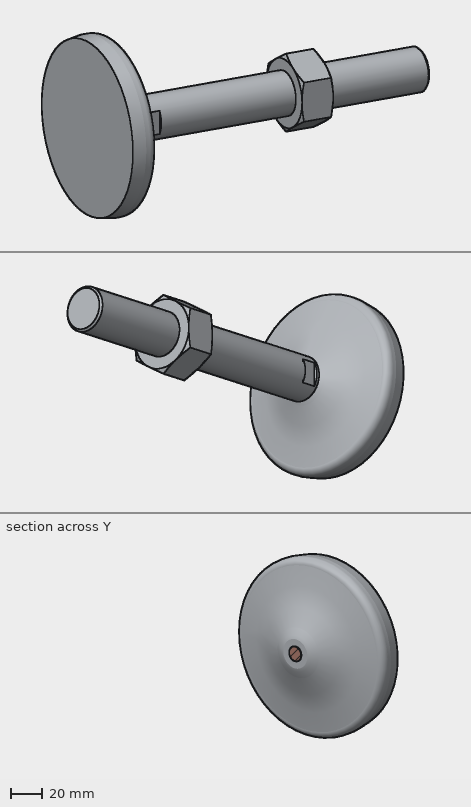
import cadquery as cq
import math

total_length = 246.0

foot_diameter = 120.0
sole_diameter = 117.0
band_bottom = 9.0
band_top = 12.0
rim_top = 17.2
rim_round = 5.0
rim_inner_radius = foot_diameter / 2 - rim_round
flare_mid = (26.8, 24.4)
shoulder_start = (16.7, 29.0)
shoulder_mid = (13.5, 30.8)
crown_radius = 9.8
crown_height = 32.0

neck_diameter = 10.0
stud_diameter = 30.0
stud_bottom = 32.7
stud_chamfer = 1.5

flat_bottom = 35.0
flat_top = 46.2
flat_spacing = 25.5

nut_bottom = 146.1
nut_height = 23.1
nut_across_flats = 45.8
nut_across_corners = nut_across_flats / math.cos(math.radians(30))
nut_end_radius = nut_across_flats / 2
nut_chamfer_angle = 22


def cylinder_along_y(diameter, bottom, top):
    """Round bar on the Y axis between two heights."""
    return cq.Workplane("XZ", origin=(0, bottom, 0)).circle(diameter / 2).extrude(bottom - top)


def make_foot():
    """Tapered rim with a narrow straight band, flaring up into a small crown."""
    outer_radius = foot_diameter / 2
    corner_mid = rim_round * math.sqrt(0.5)
    return (
        cq.Workplane("XY")
        .lineTo(sole_diameter / 2, 0)
        .lineTo(outer_radius, band_bottom)
        .lineTo(outer_radius, band_top)
        .lineTo(outer_radius, rim_top - rim_round)
        .threePointArc(
            (rim_inner_radius + corner_mid, rim_top - rim_round + corner_mid),
            (rim_inner_radius, rim_top),
        )
        .threePointArc(flare_mid, shoulder_start)
        .threePointArc(shoulder_mid, (crown_radius, crown_height))
        .lineTo(0, crown_height)
        .close()
        .revolve(360, (0, 0), (0, 1))
    )


def make_stud():
    """Round stud with a chamfered free end and two wrench flats facing -X and +X."""
    stud = cylinder_along_y(stud_diameter, stud_bottom, total_length)
    stud = stud.faces(">Y").chamfer(stud_chamfer)
    flat_depth = (stud_diameter - flat_spacing) / 2
    flat_height = flat_top - flat_bottom
    for side in (-1, 1):
        cutter = cq.Workplane("XY").box(flat_depth, flat_height, stud_diameter)
        cutter_x = side * (flat_spacing + flat_depth) / 2
        stud = stud.cut(cutter.translate((cutter_x, flat_bottom + flat_height / 2, 0)))
    return stud


def make_nut():
    """Hexagon nut with corners at +Z and -Z, both ends turned to a cone."""
    corner_radius = nut_across_corners / 2
    hexagon = (
        cq.Workplane("XZ", origin=(0, nut_bottom, 0))
        .transformed(rotate=(0, 0, 90))
        .polygon(6, nut_across_corners)
        .extrude(-nut_height)
    )
    chamfer_width = corner_radius - nut_end_radius
    chamfer_height = chamfer_width * math.tan(math.radians(nut_chamfer_angle))
    nut_top = nut_bottom + nut_height
    envelope = (
        cq.Workplane("XY")
        .moveTo(0, nut_bottom)
        .lineTo(nut_end_radius, nut_bottom)
        .lineTo(corner_radius, nut_bottom + chamfer_height)
        .lineTo(corner_radius, nut_top - chamfer_height)
        .lineTo(nut_end_radius, nut_top)
        .lineTo(0, nut_top)
        .close()
        .revolve(360, (0, 0), (0, 1))
    )
    return hexagon.intersect(envelope)


neck = cylinder_along_y(neck_diameter, crown_height, stud_bottom)
result = make_foot().union(neck).union(make_stud()).union(make_nut())